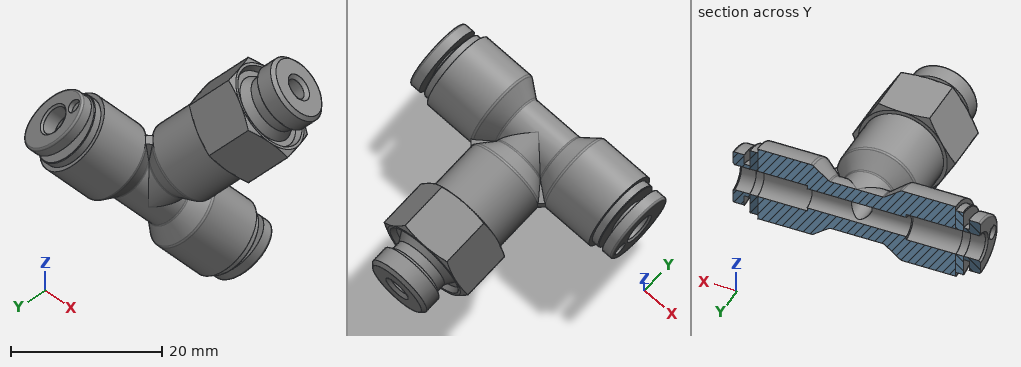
import cadquery as cq
import math

OVERALL_LENGTH = 36.2
OVERALL_DEPTH = 33.75

ARM_LENGTH = 14.48
SOCKET_DIAMETER = 11.9
NECK_DIAMETER = 8.0
CONE_START = 3.95
CONE_END = 6.48
NECK_BLEND_RADIUS = 0.35
SHOULDER_BLEND_RADIUS = 0.55
RUN_BORE_DIAMETER = 3.2
TUBE_SOCKET_DIAMETER = 4.2
TUBE_STOP = 7.25
WEB_THICKNESS = 1.6
WEB_HALF_LENGTH = 6.65

COLLAR_DIAMETER = 10.6
COLLAR_THICKNESS = 1.15
COLLAR_CHAMFER = 0.1

FLANGE_WIDTH = 10.82
FLANGE_HEIGHT = 8.6
FLANGE_THICKNESS = 1.7
FLANGE_EDGE_RADIUS = 0.3
BUTTON_NECK_DIAMETER = 5.5
BUTTON_BORE_DIAMETER = 4.15
BUTTON_BORE_CHAMFER = 0.3
MARK_DIAMETER = 2.0
MARK_OFFSET = 3.8
MARK_DEPTH = 0.72

HEX_SIDES = 6
HEX_ACROSS_FLATS = 13.0
HEX_LENGTH = 7.95
HEX_CHAMFER_ANGLE = 20.0
SEAL_RECESS_DIAMETER = 12.2
SEAL_RECESS_FLOOR_DIAMETER = 11.45
SEAL_RECESS_DEPTH = 0.8
STUD_NECK_DIAMETER = 8.2
STUD_FLARE_DIAMETER = 9.75
STUD_FLARE_LENGTH = 1.3
THREAD_DIAMETER = 9.75
THREAD_LENGTH = 2.95
THREAD_RUNOUT_LENGTH = 0.5
THREAD_CHAMFER = 0.5
STUD_BORE_DIAMETER = 3.0
STUD_BORE_CHAMFER = 0.5

BUTTON_FACE = OVERALL_LENGTH / 2
COLLAR_FACE = ARM_LENGTH + COLLAR_THICKNESS
SOCKET_RADIUS = SOCKET_DIAMETER / 2
HEX_FACE = ARM_LENGTH + HEX_LENGTH
SEAL_RECESS_FLOOR = HEX_FACE - SEAL_RECESS_DEPTH
STUD_TIP = OVERALL_DEPTH - SOCKET_RADIUS


def rod(diameter, start, end):
    """A cylinder on the X axis between two distances from the centre."""
    return cq.Workplane("YZ", origin=(start, 0, 0)).circle(diameter / 2).extrude(end - start)


def revolved(points):
    """A solid turned about the X axis from (distance, radius) points."""
    return cq.Workplane("XY").polyline(points).close().revolve(360, (0, 0, 0), (1, 0, 0))


def towards_stud(shape):
    """Turn a shape built along +X so that it points along -Y."""
    return shape.rotate((0, 0, 0), (0, 0, 1), -90)


def towards_left(shape):
    """The mirror image of a shape on the +X side."""
    return shape.mirror("YZ")


def edge_near(distance):
    """Selector for the round edge at a distance from the centre along X."""
    margin = (CONE_END - CONE_START) / 4
    low_corner = (distance - margin, -SOCKET_RADIUS, -SOCKET_RADIUS)
    high_corner = (distance + margin, SOCKET_RADIUS, SOCKET_RADIUS)
    return cq.selectors.BoxSelector(low_corner, high_corner)


def make_arm():
    """One arm of the tee: a neck that widens through a blended cone to the socket."""
    neck_radius = NECK_DIAMETER / 2
    arm = revolved([
        (0, 0),
        (0, neck_radius),
        (CONE_START, neck_radius),
        (CONE_END, SOCKET_RADIUS),
        (ARM_LENGTH, SOCKET_RADIUS),
        (ARM_LENGTH, 0),
    ])
    arm = arm.edges(edge_near(CONE_START)).fillet(NECK_BLEND_RADIUS)
    return arm.edges(edge_near(CONE_END)).fillet(SHOULDER_BLEND_RADIUS)


def make_web():
    """Thin web that fills both inner corners of the tee, cut at 45 degrees."""
    outline = [
        (-WEB_HALF_LENGTH, 0),
        (WEB_HALF_LENGTH, 0),
        (WEB_HALF_LENGTH, -SOCKET_RADIUS),
        (SOCKET_RADIUS, -WEB_HALF_LENGTH),
        (-SOCKET_RADIUS, -WEB_HALF_LENGTH),
        (-WEB_HALF_LENGTH, -SOCKET_RADIUS),
    ]
    return cq.Workplane("XY").polyline(outline).close().extrude(WEB_THICKNESS / 2, both=True)


def make_housing():
    """The tee, bored through along the run and down the branch."""
    arm = make_arm()
    body = arm.union(towards_left(arm)).union(towards_stud(arm)).union(make_web())
    body = body.cut(rod(RUN_BORE_DIAMETER, -ARM_LENGTH, ARM_LENGTH))
    body = body.cut(towards_stud(rod(STUD_BORE_DIAMETER, 0, ARM_LENGTH)))
    tube_socket = rod(TUBE_SOCKET_DIAMETER, TUBE_STOP, ARM_LENGTH)
    return body.cut(tube_socket).cut(towards_left(tube_socket))


def make_collar():
    """Ring that closes one run end and continues its tube socket."""
    collar = rod(COLLAR_DIAMETER, ARM_LENGTH, COLLAR_FACE).faces(">X").chamfer(COLLAR_CHAMFER)
    return collar.cut(rod(TUBE_SOCKET_DIAMETER, ARM_LENGTH, COLLAR_FACE))


def make_button():
    """Elliptical flange on a short round neck that stands on the collar."""
    flange_back = BUTTON_FACE - FLANGE_THICKNESS
    flange = (
        cq.Workplane("YZ", origin=(flange_back, 0, 0))
        .ellipse(FLANGE_WIDTH / 2, FLANGE_HEIGHT / 2)
        .extrude(FLANGE_THICKNESS)
        .faces(">X").edges().fillet(FLANGE_EDGE_RADIUS)
    )
    button = flange.union(rod(BUTTON_NECK_DIAMETER, COLLAR_FACE, flange_back))
    bore_radius = BUTTON_BORE_DIAMETER / 2
    bore = revolved([
        (COLLAR_FACE, 0),
        (COLLAR_FACE, bore_radius),
        (BUTTON_FACE - BUTTON_BORE_CHAMFER, bore_radius),
        (BUTTON_FACE, bore_radius + BUTTON_BORE_CHAMFER),
        (BUTTON_FACE, 0),
    ])
    mark = rod(MARK_DIAMETER, BUTTON_FACE - MARK_DEPTH, BUTTON_FACE).translate((0, -MARK_OFFSET, 0))
    return button.cut(bore).cut(mark)


def make_hexagon():
    """Hexagon with its corners chamfered at both ends and a seal recess in its outer face."""
    flat_radius = HEX_ACROSS_FLATS / 2
    corner_radius = flat_radius / math.cos(math.pi / HEX_SIDES)
    corner_drop = (corner_radius - flat_radius) * math.tan(math.radians(HEX_CHAMFER_ANGLE))
    hexagon = (
        cq.Workplane("YZ", origin=(ARM_LENGTH, 0, 0))
        .polygon(HEX_SIDES, 2 * corner_radius)
        .extrude(HEX_LENGTH)
    )
    chamfer_envelope = revolved([
        (ARM_LENGTH, 0),
        (ARM_LENGTH, flat_radius),
        (ARM_LENGTH + corner_drop, corner_radius),
        (HEX_FACE - corner_drop, corner_radius),
        (HEX_FACE, flat_radius),
        (HEX_FACE, 0),
    ])
    seal_recess = revolved([
        (SEAL_RECESS_FLOOR, 0),
        (SEAL_RECESS_FLOOR, SEAL_RECESS_FLOOR_DIAMETER / 2),
        (HEX_FACE, SEAL_RECESS_DIAMETER / 2),
        (HEX_FACE, 0),
    ])
    return hexagon.intersect(chamfer_envelope).cut(seal_recess)


def make_stud():
    """Hexagon and threaded shank in one piece, with a bore right through."""
    neck_radius = STUD_NECK_DIAMETER / 2
    thread_radius = THREAD_DIAMETER / 2
    thread_start = STUD_TIP - THREAD_LENGTH
    shank = revolved([
        (SEAL_RECESS_FLOOR, 0),
        (SEAL_RECESS_FLOOR, STUD_FLARE_DIAMETER / 2),
        (SEAL_RECESS_FLOOR + STUD_FLARE_LENGTH, neck_radius),
        (thread_start - THREAD_RUNOUT_LENGTH, neck_radius),
        (thread_start, thread_radius),
        (STUD_TIP - THREAD_CHAMFER, thread_radius),
        (STUD_TIP, thread_radius - THREAD_CHAMFER),
        (STUD_TIP, 0),
    ])
    bore_radius = STUD_BORE_DIAMETER / 2
    bore = revolved([
        (ARM_LENGTH, 0),
        (ARM_LENGTH, bore_radius),
        (STUD_TIP - STUD_BORE_CHAMFER, bore_radius),
        (STUD_TIP, bore_radius + STUD_BORE_CHAMFER),
        (STUD_TIP, 0),
    ])
    return towards_stud(make_hexagon().union(shank).cut(bore))


housing = make_housing()
stud = make_stud()

collars = []
buttons = []
for on_left in (False, True):
    collar = make_collar()
    button = make_button()
    collars.append(towards_left(collar) if on_left else collar)
    buttons.append(towards_left(button) if on_left else button)

result = cq.Compound.makeCompound(
    [housing.val(), stud.val()] + [body.val() for body in collars + buttons]
)